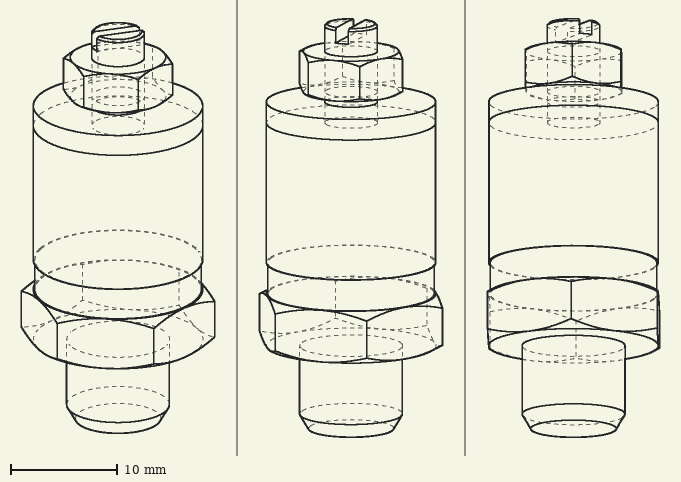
import cadquery as cq
import math

total_height = 39.0
stud_length = 8.0
hex_height = 5.0
collar_height = 3.0
sleeve_length = 13.5
cap_thickness = 2.0
nut_gap = 0.98
nut_height = 3.9

hex_top = stud_length + hex_height
sleeve_bottom = hex_top + collar_height
cap_bottom = sleeve_bottom + sleeve_length
cap_top = cap_bottom + cap_thickness
nut_bottom = cap_top + nut_gap

stud_diameter = 9.7
collar_diameter = 15.7
housing_diameter = 16.0
hex_width = housing_diameter
nut_width = 9.0
screw_diameter = 5.0

stud_tip_height = 1.4
stud_tip_inset = 0.8
screw_chamfer = 0.25
slot_width = 1.3
slot_depth = 1.45
corner_angle = 30.0


def cylinder(diameter, bottom, height):
    """Upright cylinder on the Z axis."""
    return cq.Workplane("XY").workplane(offset=bottom).circle(diameter / 2).extrude(height)


def beveled_hexagon(width, bottom, height):
    """Hexagonal prism, corners toward +/-X, with conical bevels at both ends."""
    corner_radius = width / math.sqrt(3)
    flat_radius = width / 2
    bevel_drop = (corner_radius - flat_radius) * math.tan(math.radians(corner_angle))
    top = bottom + height
    prism = cq.Workplane("XY").workplane(offset=bottom).polygon(6, 2 * corner_radius).extrude(height)
    bevel_envelope = (
        cq.Workplane("XZ")
        .moveTo(0, bottom)
        .lineTo(flat_radius, bottom)
        .lineTo(corner_radius, bottom + bevel_drop)
        .lineTo(corner_radius, top - bevel_drop)
        .lineTo(flat_radius, top)
        .lineTo(0, top)
        .close()
        .revolve(360, (0, 0, 0), (0, 1, 0))
    )
    return prism.intersect(bevel_envelope)


def make_base():
    """Stud with a tapered tip, wrench hexagon and collar in one piece."""
    stud = cylinder(stud_diameter, 0, stud_length)
    stud = stud.faces("<Z").chamfer(stud_tip_height, stud_tip_inset)
    hexagon = beveled_hexagon(hex_width, stud_length, hex_height)
    collar = cylinder(collar_diameter, hex_top, collar_height)
    return stud.union(hexagon).union(collar)


def make_sleeve():
    """Plain cylindrical housing above the collar."""
    return cylinder(housing_diameter, sleeve_bottom, sleeve_length)


def make_cap():
    """Disc closing the housing, bored for the screw."""
    disc = cylinder(housing_diameter, cap_bottom, cap_thickness)
    return disc.cut(cylinder(screw_diameter, cap_bottom, cap_thickness))


def make_screw():
    """Adjusting screw with a chamfered, slotted end."""
    shank = cylinder(screw_diameter, cap_bottom, total_height - cap_bottom)
    shank = shank.faces(">Z").chamfer(screw_chamfer)
    slot = (
        cq.Workplane("XY")
        .workplane(offset=total_height - slot_depth)
        .rect(slot_width, screw_diameter)
        .extrude(slot_depth)
    )
    return shank.cut(slot)


def make_nut():
    """Hexagonal lock nut on the screw."""
    blank = beveled_hexagon(nut_width, nut_bottom, nut_height)
    return blank.cut(cylinder(screw_diameter, nut_bottom, nut_height))


base = make_base()
sleeve = make_sleeve()
cap = make_cap()
screw = make_screw()
nut = make_nut()

result = cq.Compound.makeCompound([base.val(), sleeve.val(), cap.val(), screw.val(), nut.val()])